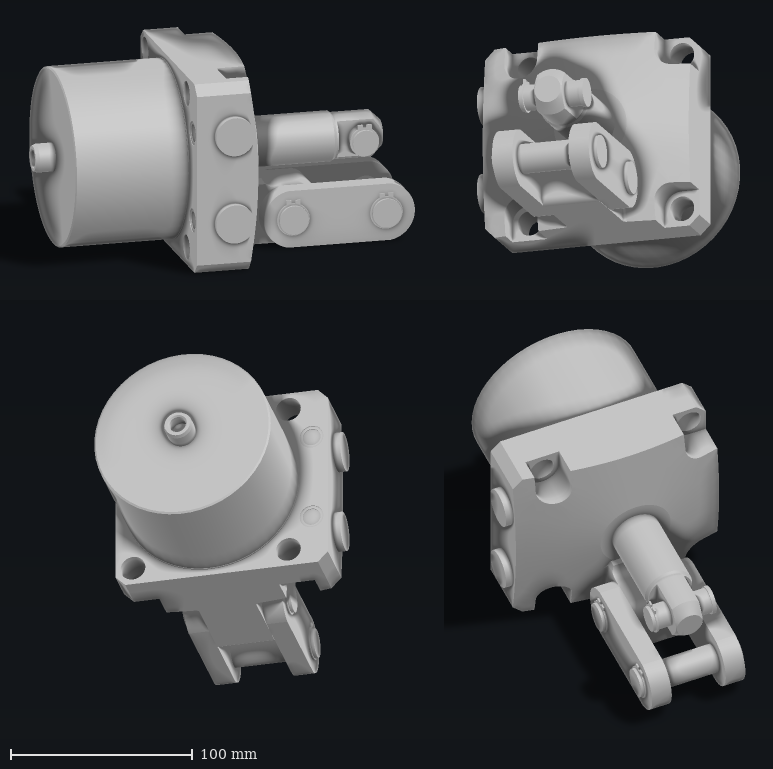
import cadquery as cq
import math


block_left = 54.0
block_right = 66.4
block_half_height = 54.0
block_corner_chamfer = 5.7
crown_y = 47.0
crown_flat_radius = 21.0
crown_slope = 15.0

mount_offset = 44.0
mount_hole_radius = 7.04
pocket_radius = 10.0
pocket_floor_y = 19.7

port_x = 57.1
port_z = 25.0
port_recess_radius = 6.7
port_recess_depth = 0.5
port_seat_radius = 5.0
port_seat_depth = 0.8
plug_y = 20.8
plug_radius = 11.0
plug_end_x = 70.8

barrel_radius = 50.0
barrel_length = 64.5
barrel_chamfer_length = 0.6
barrel_chamfer_width = 1.0
collar_radius = 50.5
collar_height = 0.6

tail_radius = 8.0
tail_end_y = -75.8
tail_chamfer_length = 2.0
tail_chamfer_width = 0.8
tail_bore_radius = 4.6
tail_bore_chamfer = 0.8
tail_bore_depth = 8.5

rod_radius = 14.0
rod_chamfer_y = 92.5
rod_shoulder_y = 94.0
tang_flat_y = 95.1
tang_radius = 13.0
tang_half_width = 8.0
tang_chamfer_y = 115.7
tang_tip_radius = 7.5
tip_y = 121.5

rod_pin_y = 108.5
link_pin_y = 64.9
link_pitch = 53.0
link_pin_z = -37.5
link_pin_places = (link_pin_y, link_pin_y + link_pitch)
joint_half_width = 16.2

link_end_radius = 16.4
link_half_height = 16.2
link_outer_x = 28.0

lug_top_z = -21.8
lug_end_y = 83.2
lug_upper_round = 8.2
lug_lower_round = 4.0
lug_root_y = 57.5
lug_root_radius = 7.4
lug_step_z = -16.8
lug_bevel_width = 1.5
lug_bevel_height = 3.2
lug_side_fillet = 1.9

link_pin_radius = 8.2
link_pin_head_radius = 9.0
rod_pin_radius = 7.1
rod_pin_head_radius = 8.0
pin_head_thickness = 2.3
pin_end_length = 3.0
ring_overlap = 0.2
ring_thickness = 1.0
ring_ear_height = 1.7
ring_ear_width = 3.0
ring_ear_spacing = 5.0


def cylinder_y(radius, start_y, end_y, x=0.0, z=0.0):
    """Cylinder parallel to Y between two Y positions."""
    return cq.Workplane("XZ", origin=(x, start_y, z)).circle(radius).extrude(start_y - end_y)


def cylinder_x(radius, start_x, end_x, y, z):
    """Cylinder parallel to X between two X positions."""
    return cq.Workplane("YZ", origin=(start_x, y, z)).circle(radius).extrude(end_x - start_x)


def box_between(x0, x1, y0, y1, z0, z1):
    """Box between opposite corners."""
    return cq.Workplane("XY").box(x1 - x0, y1 - y0, z1 - z0, centered=False).translate((x0, y0, z0))


def revolve_about_y(points):
    """Solid of revolution about Y from (radius, y) points."""
    return cq.Workplane("XY").polyline(points).close().revolve(360, (0, 0, 0), (0, 1, 0))


def make_block():
    """Chamfered block trimmed by a shallow cone at its crown."""
    block = box_between(-block_left, block_right, 0, crown_y, -block_half_height, block_half_height)
    block = block.edges("|Y").chamfer(block_corner_chamfer)
    reach = 2 * block_right
    drop = (reach - crown_flat_radius) * math.tan(math.radians(crown_slope))
    crown = revolve_about_y([
        (0, -2),
        (reach, -2),
        (reach, crown_y - drop),
        (crown_flat_radius, crown_y),
        (0, crown_y),
    ])
    return block.intersect(crown)


def make_pocket(side_x, side_z):
    """Pocket over one mounting hole, open to the Z side and, at -X, to the X side too."""
    x = side_x * mount_offset
    z = side_z * mount_offset
    outer_z = side_z * (block_half_height + 2)
    z_low = min(z, outer_z)
    z_high = max(z, outer_z)
    pocket = cylinder_y(pocket_radius, pocket_floor_y, crown_y, x, z)
    left_x = x - pocket_radius
    right_x = x + pocket_radius
    if side_x < 0:
        left_x = -block_left - 2
        inner_z = z - side_z * pocket_radius
        pocket = pocket.union(box_between(
            left_x, x, pocket_floor_y, crown_y, min(inner_z, outer_z), max(inner_z, outer_z)))
    return pocket.union(box_between(left_x, right_x, pocket_floor_y, crown_y, z_low, z_high))


def make_lug():
    """Bracket on the crown with a rounded free end, a curved root and bevelled root sides."""
    step_drop = lug_root_radius - (lug_step_z - lug_top_z)
    step_y = lug_root_y - math.sqrt(lug_root_radius**2 - step_drop**2)
    root_angle = math.atan2(lug_root_y - step_y, step_drop) / 2
    root_mid = (
        lug_root_y - lug_root_radius * math.sin(root_angle),
        lug_top_z + lug_root_radius * (1 - math.cos(root_angle)),
    )
    lug = (
        cq.Workplane("YZ", origin=(-joint_half_width, 0, 0))
        .moveTo(pocket_floor_y, -block_half_height)
        .lineTo(lug_end_y, -block_half_height)
        .lineTo(lug_end_y, lug_top_z)
        .lineTo(lug_root_y, lug_top_z)
        .threePointArc(root_mid, (step_y, lug_step_z))
        .lineTo(pocket_floor_y, lug_step_z)
        .close()
        .extrude(2 * joint_half_width)
    )
    lug = lug.faces(">Y").edges(">Z").fillet(lug_upper_round)
    lug = lug.faces(">Y").edges("<Z").fillet(lug_lower_round)
    for side_x in (-1, 1):
        side = side_x * joint_half_width
        bevel = (
            cq.Workplane("XZ", origin=(0, pocket_floor_y, 0))
            .moveTo(side, lug_step_z - lug_bevel_height)
            .lineTo(side, lug_step_z)
            .lineTo(side - side_x * lug_bevel_width, lug_step_z)
            .close()
            .extrude(pocket_floor_y - lug_root_y)
        )
        lug = lug.cut(bevel)
    return lug


def lug_side_edge(side_x):
    """Selector for the edge where one side of the lug meets the sloping crown."""
    x = side_x * joint_half_width
    margin = 0.2
    return cq.selectors.BoxSelector(
        (x - margin, pocket_floor_y, -block_half_height),
        (x + margin, crown_y, lug_step_z),
    )


def make_rod():
    """Piston rod with a chamfered tang cut flat on both X sides."""
    rod = revolve_about_y([
        (0, 0),
        (rod_radius, 0),
        (rod_radius, rod_chamfer_y),
        (tang_radius, rod_shoulder_y),
        (tang_radius, tang_chamfer_y),
        (tang_tip_radius, tip_y),
        (0, tip_y),
    ])
    for side in (-1, 1):
        inner = side * tang_half_width
        outer = side * rod_radius
        rod = rod.cut(box_between(
            min(inner, outer), max(inner, outer), tang_flat_y, tip_y, -rod_radius, rod_radius))
    return rod


def make_barrel():
    """Cylinder barrel with a low collar at the flange and a chamfered rear edge."""
    return revolve_about_y([
        (0, 0),
        (collar_radius, 0),
        (collar_radius, -collar_height),
        (barrel_radius, -collar_height),
        (barrel_radius, -barrel_length + barrel_chamfer_length),
        (barrel_radius - barrel_chamfer_width, -barrel_length),
        (0, -barrel_length),
    ])


def make_tail():
    """Hollow tail rod with a tapered end."""
    tail = revolve_about_y([
        (0, -barrel_length),
        (tail_radius, -barrel_length),
        (tail_radius, tail_end_y + tail_chamfer_length),
        (tail_radius - tail_chamfer_width, tail_end_y),
        (0, tail_end_y),
    ])
    bore = revolve_about_y([
        (0, tail_end_y),
        (tail_bore_radius + tail_bore_chamfer, tail_end_y),
        (tail_bore_radius, tail_end_y + tail_bore_chamfer),
        (tail_bore_radius, tail_end_y + tail_bore_depth),
        (0, tail_end_y + tail_bore_depth),
    ])
    return tail.cut(bore)


def make_pin(shank_radius, head_radius, grip_half_width, y, z):
    """Headed pin along X, with an eared retaining ring at its +X end."""
    shank = cylinder_x(shank_radius, -grip_half_width, grip_half_width + pin_end_length, y, z)
    head = cylinder_x(head_radius, -grip_half_width - pin_head_thickness, -grip_half_width, y, z)
    ring_radius = head_radius + ring_overlap
    ring = cylinder_x(ring_radius, grip_half_width, grip_half_width + ring_thickness, y, z)
    for side_y in (-1, 1):
        ear_y = y + side_y * ring_ear_spacing / 2
        ring = ring.union(box_between(
            grip_half_width,
            grip_half_width + ring_thickness,
            ear_y - ring_ear_width / 2,
            ear_y + ring_ear_width / 2,
            z,
            z + ring_radius + ring_ear_height,
        ))
    return shank.union(head).union(ring)


def make_housing():
    """Block, barrel, rod and lug as one body, with the rod pin fixed in the rod."""
    housing = make_block()
    for side_x in (-1, 1):
        for side_z in (-1, 1):
            housing = housing.cut(make_pocket(side_x, side_z))
    housing = housing.union(make_lug())
    for side_x in (-1, 1):
        housing = housing.edges(lug_side_edge(side_x)).fillet(lug_side_fillet)
    housing = housing.union(make_barrel()).union(make_tail()).union(make_rod())
    housing = housing.union(make_pin(
        rod_pin_radius, rod_pin_head_radius, joint_half_width, rod_pin_y, 0))

    for side_x in (-1, 1):
        for side_z in (-1, 1):
            housing = housing.cut(cylinder_y(
                mount_hole_radius, 0, pocket_floor_y, side_x * mount_offset, side_z * mount_offset))
    for side_z in (-1, 1):
        z = side_z * port_z
        housing = housing.cut(cylinder_y(port_recess_radius, 0, port_recess_depth, port_x, z))
        housing = housing.cut(cylinder_y(port_seat_radius, 0, port_seat_depth, port_x, z))
        housing = housing.union(cylinder_x(plug_radius, block_right, plug_end_x, plug_y, z))
    return housing.cut(cylinder_x(
        link_pin_radius, -joint_half_width, joint_half_width, link_pin_y, link_pin_z))


def make_link(side_x):
    """Flat link with an arc round each pin hole, its arcs slightly wider than its flat edges."""
    inner_x = side_x * joint_half_width
    width = side_x * (link_outer_x - joint_half_width)
    arc_start = math.sqrt(link_end_radius**2 - link_half_height**2)
    far_y = link_pin_y + link_pitch
    top_z = link_pin_z + link_half_height
    bottom_z = link_pin_z - link_half_height
    plate = (
        cq.Workplane("YZ", origin=(inner_x, 0, 0))
        .moveTo(link_pin_y - arc_start, bottom_z)
        .lineTo(far_y + arc_start, bottom_z)
        .threePointArc((far_y + link_end_radius, link_pin_z), (far_y + arc_start, top_z))
        .lineTo(link_pin_y - arc_start, top_z)
        .threePointArc((link_pin_y - link_end_radius, link_pin_z), (link_pin_y - arc_start, bottom_z))
        .close()
        .extrude(width)
    )
    for y in link_pin_places:
        plate = plate.cut(cylinder_x(link_pin_radius, inner_x, inner_x + width, y, link_pin_z))
    return plate


housing = make_housing()
links = [make_link(side_x) for side_x in (-1, 1)]
link_pins = [
    make_pin(link_pin_radius, link_pin_head_radius, link_outer_x, y, link_pin_z)
    for y in link_pin_places
]

result = cq.Compound.makeCompound(
    [housing.val()] + [link.val() for link in links] + [pin.val() for pin in link_pins]
)